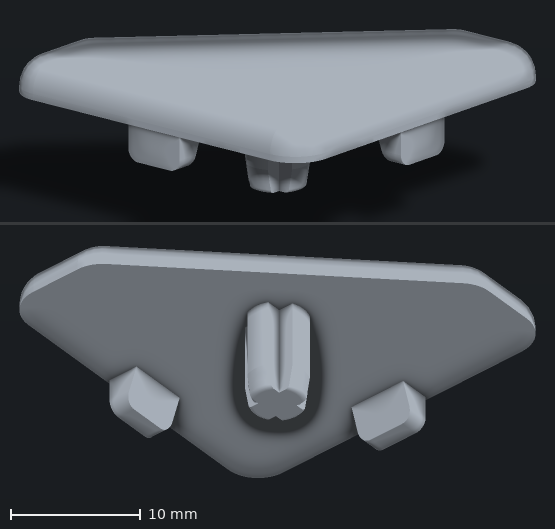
import cadquery as cq

plate_side = 30.0
plate_thickness = 3.0
short_side = 8.7
plate_corner_radius = 3.0
top_edge_radius = 2.5

peg_width = 5.2
peg_length = 8.0
peg_arm_width = 2.1
peg_taper_length = 2.0
peg_end_width = 4.5
peg_end_fillet = 0.35

tab_width = peg_width
tab_height = 3.0
tab_edge_inset = 0.3
tab_root_depth = 2.7
tab_tip_depth = 1.6
tab_corner_radius = 1.0

half_side = plate_side / 2


def make_plate():
    """Square with its (-X, +Y) corner cut off, all corners and the top edge rounded."""
    cut_end = short_side - half_side
    outline = [
        (-half_side, -half_side),
        (half_side, -half_side),
        (half_side, half_side),
        (-cut_end, half_side),
        (-half_side, cut_end),
    ]
    plate = cq.Workplane("XY").polyline(outline).close().extrude(plate_thickness)
    plate = plate.edges("|Z").fillet(plate_corner_radius)
    return plate.faces(">Z").edges().fillet(top_edge_radius)


def make_peg():
    """Cross of two bars, trimmed to a round pin with a tapered, rounded end."""
    peg_radius = peg_width / 2
    pin = (
        cq.Workplane("XZ")
        .moveTo(0, 0)
        .lineTo(peg_radius, 0)
        .lineTo(peg_radius, peg_taper_length - peg_length)
        .lineTo(peg_end_width / 2, -peg_length)
        .lineTo(0, -peg_length)
        .close()
        .revolve(360, (0, 0), (0, 1))
    )
    pin = pin.faces("<Z").edges().fillet(peg_end_fillet)
    cross = (
        cq.Workplane("XY")
        .rect(peg_width, peg_arm_width)
        .extrude(-peg_length)
        .union(cq.Workplane("XY").rect(peg_arm_width, peg_width).extrude(-peg_length))
    )
    return pin.intersect(cross)


def make_right_tab():
    """Tab beside the +X side: upright outer face, sloping inner face, rounded lower corners."""
    outer_x = half_side - tab_edge_inset
    profile = [
        (outer_x, 0),
        (outer_x - tab_root_depth, 0),
        (outer_x - tab_tip_depth, -tab_height),
        (outer_x, -tab_height),
    ]
    tab = cq.Workplane("XZ").polyline(profile).close().extrude(tab_width / 2, both=True)
    return tab.faces("<Z").edges("|X").fillet(tab_corner_radius)


right_tab = make_right_tab()
front_tab = right_tab.rotate((0, 0, 0), (0, 0, 1), -90)
result = make_plate().union(make_peg()).union(right_tab).union(front_tab)